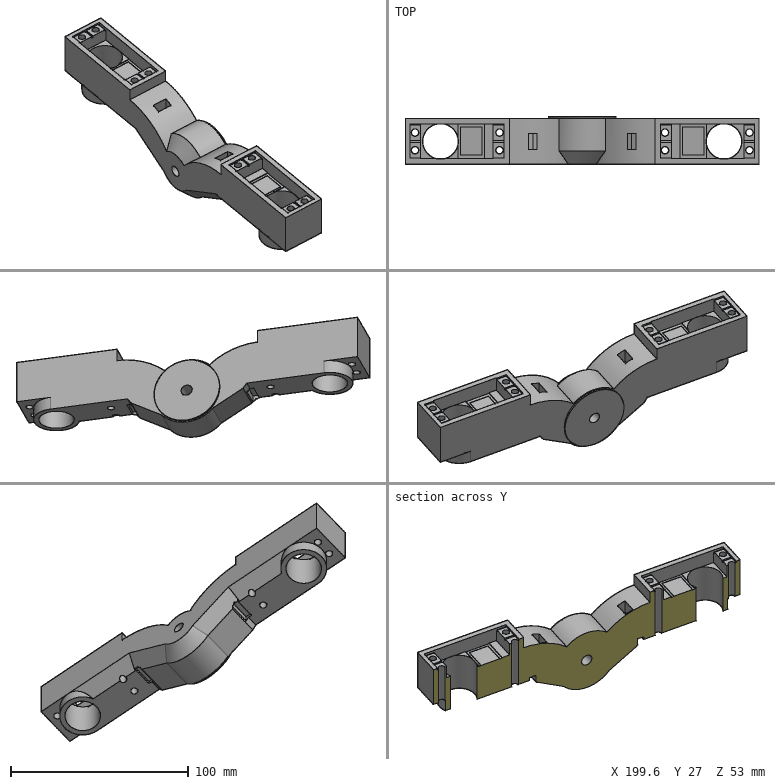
import cadquery as cq
import math

half_length = 99.8
depth = 26.0
top_z = 33.0
bevel = 7.5
box_bottom_z = bevel

hub_radius = 20.0
rear_disc_radius = 19.2
rear_disc_thickness = 1.0
pin_diameter = 6.4

arm_angle = math.radians(30)
arm_offset = 19.0
arm_top_z = 25.5
arm_top_radius = 42.5
arm_inner_x = -7.0
relief_left_x = -35.0
relief_right_x = -31.8
relief_bottom_z = -4.4
cable_slot_x = (-30.4, -25.5)
cable_slot_y = (8.4, 17.4)
cable_slot_step_x = -28.0
cable_slot_depth = 8.0
cable_slot_step = 1.0

box_inner_x = -41.1
boss_x = -80.0
boss_radius = 13.0
bore_diameter = 20.0
notch_x = (-37.1, -33.3)
notch_y = (6.8, 19.2)
notch_z = (-3.5, 2.0)

recess_x = (-97.3, -44.1)
recess_y = (3.5, 22.8)
recess_depth = 1.0
pocket_x = (-91.3, -50.3)
pocket_y = (3.2, 22.8)
pocket_depth = 9.0
sink_x = (-70.3, -55.1)
sink_depth = 0.4
panel_x = (-68.9, -56.7)
panel_y = (5.4, 21.2)
panel_height = 0.2
groove_width = 1.0
groove_depth = 1.0
side_groove_width = 0.5
screw_diameter = 4.0
screw_x = (-94.5, -46.7)
screw_spacing = 10.0

middle_y = depth / 2


def block(x_range, y_range, z_range):
    """Box given by its limits along each axis."""
    size = [limits[1] - limits[0] for limits in (x_range, y_range, z_range)]
    corner = (x_range[0], y_range[0], z_range[0])
    return cq.Workplane("XY").box(*size, centered=False).translate(corner)


def profile_plane(y):
    """Sketch plane at the given Y, with axes X and Z; negative extrusions run toward +Y."""
    return cq.Workplane("XZ", origin=(0, y, 0))


def upright_cylinder(x, y, diameter, bottom_z, height):
    return cq.Workplane("XY", origin=(x, y, bottom_z)).circle(diameter / 2).extrude(height)


def hub():
    """Round hub whose front rim is a 45 degree cone, with a thin disc on its back."""
    barrel = profile_plane(0).circle(hub_radius).extrude(-depth).faces("<Y").chamfer(bevel)
    disc = profile_plane(depth).circle(rear_disc_radius).extrude(-rear_disc_thickness)
    return barrel.union(disc)


def arm_top(x):
    """Height of the curved top of the left arm at x."""
    center_z = arm_top_z - arm_top_radius
    return center_z + math.sqrt(arm_top_radius**2 - (x - box_inner_x) ** 2)


def arm_bottom(x):
    """Height of the straight lower face of the left arm at x."""
    return -arm_offset / math.cos(arm_angle) - x * math.tan(arm_angle)


def left_arm():
    """Sloping arm with a convex curved top and a bevelled lower front edge."""
    foot_x = -arm_offset * math.sin(arm_angle)
    mid_x = (box_inner_x + arm_inner_x) / 2
    arm = (
        profile_plane(0)
        .moveTo(box_inner_x, arm_top_z)
        .threePointArc((mid_x, arm_top(mid_x)), (arm_inner_x, arm_top(arm_inner_x)))
        .lineTo(foot_x, arm_bottom(foot_x))
        .lineTo(box_inner_x, arm_bottom(box_inner_x))
        .close()
        .extrude(-depth)
    )
    edge_x = (foot_x + box_inner_x) / 2
    arm = arm.edges(cq.NearestToPointSelector((edge_x, 0, arm_bottom(edge_x)))).chamfer(bevel)
    return arm.cut(arm_relief()).cut(cable_slot())


def arm_relief():
    """Steep facet that trims the lower corner between the arm and the bar."""
    return (
        profile_plane(0)
        .moveTo(box_inner_x, 0)
        .lineTo(relief_left_x, 0)
        .lineTo(relief_right_x, relief_bottom_z)
        .lineTo(box_inner_x, relief_bottom_z)
        .close()
        .extrude(-depth)
    )


def cable_slot():
    """Blind upright slot in the arm top; its stepped floor slopes like the arm."""
    left, right = cable_slot_x
    floor_left = arm_top(left) - cable_slot_depth
    slope = math.tan(arm_angle)
    floor_step = floor_left - (cable_slot_step_x - left) * slope
    floor_right = floor_left - (right - left) * slope
    return (
        profile_plane(cable_slot_y[0])
        .moveTo(left, top_z)
        .lineTo(left, floor_left)
        .lineTo(cable_slot_step_x, floor_step)
        .lineTo(cable_slot_step_x, floor_step - cable_slot_step)
        .lineTo(right, floor_right - cable_slot_step)
        .lineTo(right, top_z)
        .close()
        .extrude(-(cable_slot_y[1] - cable_slot_y[0]))
    )


def left_bar():
    """Rectangular bar with a bevelled lower rail that ends in a round boss."""
    y_range = (0, depth)
    bar = block((-half_length, box_inner_x), y_range, (box_bottom_z, top_z))
    rail = block((boss_x, relief_left_x), y_range, (0, 2 * box_bottom_z))
    rail_middle = ((boss_x + relief_left_x) / 2, 0, 0)
    rail = rail.edges(cq.NearestToPointSelector(rail_middle)).chamfer(bevel)
    boss = upright_cylinder(boss_x, middle_y, 2 * boss_radius, 0, box_bottom_z)
    return bar.union(rail).union(boss)


def left_pocket():
    """Open-topped cavity: pocket, grooved screw ledges, sunken floor panel and through holes."""
    floor_z = top_z - pocket_depth
    ledge_z = top_z - recess_depth
    sink_z = floor_z - sink_depth
    cavity = block(pocket_x, pocket_y, (floor_z, top_z))
    cavity = cavity.union(block(sink_x, pocket_y, (sink_z, floor_z)))
    cavity = cavity.cut(block(panel_x, panel_y, (sink_z, sink_z + panel_height)))
    cavity = cavity.union(block(recess_x, recess_y, (ledge_z, top_z)))
    middle_groove_y = (middle_y - groove_width / 2, middle_y + groove_width / 2)
    side_groove_y = (recess_y[1] - side_groove_width, recess_y[1])
    for groove_y in (middle_groove_y, side_groove_y):
        cavity = cavity.union(block(recess_x, groove_y, (ledge_z - groove_depth, top_z)))
    cavity = cavity.union(upright_cylinder(boss_x, middle_y, bore_diameter, 0, floor_z))
    for x in screw_x:
        for side in (-1, 1):
            y = middle_y + side * screw_spacing / 2
            cavity = cavity.union(upright_cylinder(x, y, screw_diameter, 0, top_z))
    return cavity


def left_half():
    half = left_bar().union(left_arm()).cut(left_pocket())
    return half.cut(block(notch_x, notch_y, notch_z))


left = left_half()
right = left.mirror("YZ")
pin_hole = profile_plane(0).circle(pin_diameter / 2).extrude(-(depth + rear_disc_thickness))
result = hub().union(left).union(right).cut(pin_hole)